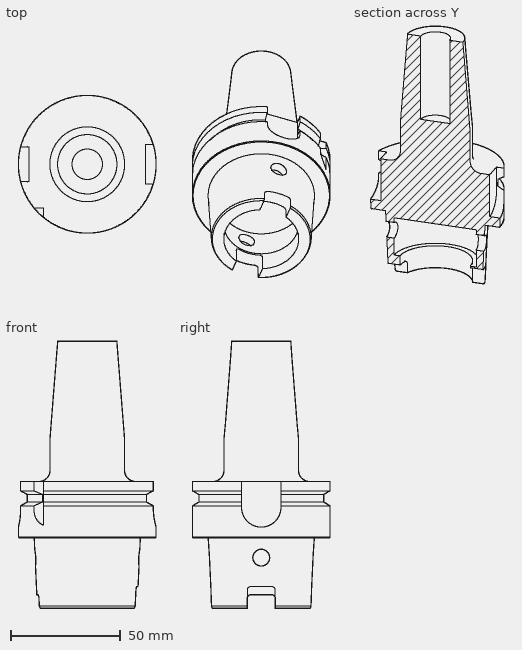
import cadquery as cq

total_height = 122.0

shank_height = 32.2
shank_top_radius = 24.3
shank_bottom_radius = 22.8
shank_chamfer_radial = 0.5
shank_chamfer_height = 1.1
mouth_radius = 17.1
recess_radius = 19.9
recess_bottom = 11.0
recess_top = 29.3

flange_radius = 31.5
flange_top = 58.0
flange_chamfer = 0.4
groove_radius = 28.5
groove_bottom = 48.5
groove_top = 52.0
groove_side_height = 1.7
groove_lower_rim = groove_bottom - groove_side_height
groove_upper_rim = groove_top + groove_side_height

neck_radius = 17.1
neck_top = 77.3
neck_fillet = 5.0
nose_radius = 13.5
bore_radius = 7.0
bore_depth = 41.5

slot_floor = 26.5
slot_bottom = 37.1
left_slot_width = 15.9
right_slot_width = 17.9

notch_edge = 20.0

key_width = 12.7
left_key_height = 6.2
right_key_height = 10.0
key_fillet = 1.6
cross_hole_radius = 3.8
cross_hole_z = 23.2


def make_body():
    """Revolve the outer contour about Z."""
    profile = (
        cq.Workplane("XZ")
        .lineTo(shank_bottom_radius - shank_chamfer_radial, 0)
        .lineTo(shank_bottom_radius, shank_chamfer_height)
        .lineTo(shank_top_radius, shank_height)
        .lineTo(flange_radius - flange_chamfer, shank_height)
        .lineTo(flange_radius, shank_height + flange_chamfer)
        .lineTo(flange_radius, groove_lower_rim)
        .lineTo(groove_radius, groove_bottom)
        .lineTo(groove_radius, groove_top)
        .lineTo(flange_radius, groove_upper_rim)
        .lineTo(flange_radius, flange_top)
        .lineTo(neck_radius + neck_fillet, flange_top)
        .radiusArc((neck_radius, flange_top + neck_fillet), neck_fillet)
        .lineTo(neck_radius, neck_top)
        .lineTo(nose_radius, total_height)
        .lineTo(0, total_height)
        .close()
    )
    return profile.revolve(360, (0, 0, 0), (0, 1, 0))


def round_bottom_slot(width, x_start, x_end, y_center):
    """Cutter along X, open at the flange top, with a half-round bottom."""
    radius = width / 2
    arc_z = slot_bottom + radius
    return (
        cq.Workplane("YZ", origin=(x_start, y_center, 0))
        .moveTo(-radius, flange_top)
        .lineTo(-radius, arc_z)
        .threePointArc((0, slot_bottom), (radius, arc_z))
        .lineTo(radius, flange_top)
        .close()
        .extrude(x_end - x_start)
    )


def make_key_slot(height, side):
    """Drive key slot in the open end of the shank; side is -1 for -X, +1 for +X."""
    return (
        cq.Workplane("XY", origin=(side * flange_radius / 2, 0, 0))
        .box(flange_radius, key_width, height, centered=(True, True, False))
        .edges("|X and >Z")
        .fillet(key_fillet)
    )


def make_cross_hole():
    """Round access hole through both shank walls."""
    return (
        cq.Workplane("YZ")
        .center(0, cross_hole_z)
        .circle(cross_hole_radius)
        .extrude(flange_radius, both=True)
    )


bore = cq.Workplane("XY", origin=(0, 0, total_height - bore_depth)).circle(bore_radius).extrude(bore_depth)
mouth = cq.Workplane("XY").circle(mouth_radius).extrude(recess_bottom)
recess_height = recess_top - recess_bottom
recess = cq.Workplane("XY", origin=(0, 0, recess_bottom)).circle(recess_radius).extrude(recess_height)
left_slot = round_bottom_slot(left_slot_width, -flange_radius, -slot_floor, 0)
right_slot = round_bottom_slot(right_slot_width, slot_floor, flange_radius, 0)
notch_center_y = -notch_edge - left_slot_width / 2
notch = round_bottom_slot(left_slot_width, -flange_radius, -notch_edge, notch_center_y)

left_key_slot = make_key_slot(left_key_height, -1)
right_key_slot = make_key_slot(right_key_height, 1)
cross_hole = make_cross_hole()
cutters = [bore, mouth, recess, left_slot, right_slot, notch, left_key_slot, right_key_slot, cross_hole]

result = make_body()
for cutter in cutters:
    result = result.cut(cutter)